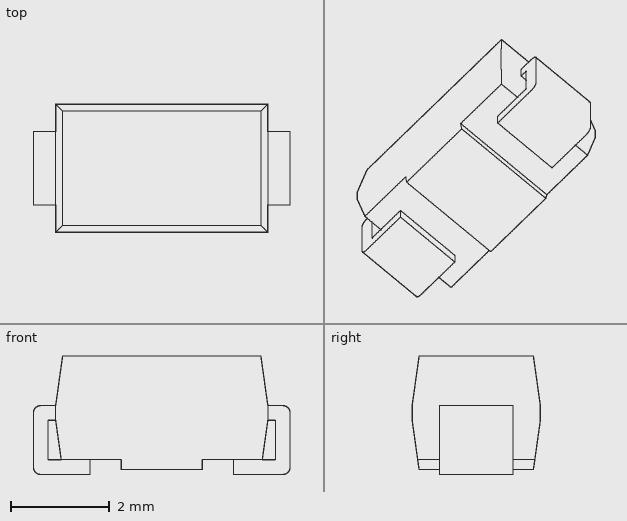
import cadquery as cq
import math

length = 5.2
height = 2.4

body_length = 4.3
body_width = 2.6
draft_angle = 8.0
pad_length = 1.645
pad_bottom = 0.1

lead_thickness = 0.3
lead_width = 1.5
lead_top = 1.4
foot_length = 1.15
bend_radius = 0.15

belt_bottom = lead_top - lead_thickness
body_bottom = lead_thickness


def drafted_block(start_z, end_z):
    """Block that narrows on all four sides from the belt outline at start_z to end_z."""
    inset = abs(end_z - start_z) * math.tan(math.radians(draft_angle))
    return (
        cq.Workplane("XY", origin=(0, 0, start_z))
        .rect(body_length, body_width)
        .workplane(offset=end_z - start_z)
        .rect(body_length - 2 * inset, body_width - 2 * inset)
        .loft(combine=True)
    )


def make_body():
    """Straight belt between two drafted halves, with a standoff pad underneath."""
    belt = cq.Workplane("XY", origin=(0, 0, belt_bottom)).rect(body_length, body_width).extrude(lead_thickness)
    upper = drafted_block(lead_top, height)
    lower = drafted_block(belt_bottom, pad_bottom)

    for side in (-1, 1):
        relief = cq.Workplane("XY").box(length, body_width, body_bottom, centered=(True, True, False))
        lower = lower.cut(relief.translate((side * (pad_length + length) / 2, 0, 0)))
    return belt.union(upper).union(lower)


def make_left_lead():
    """C-shaped strip leaving the belt, running down and folding under the body."""
    outer_x = -length / 2
    inner_x = outer_x + lead_thickness
    body_x = -body_length / 2
    foot_x = outer_x + foot_length
    strip = (
        cq.Workplane("XZ")
        .moveTo(body_x, lead_top)
        .lineTo(outer_x, lead_top)
        .lineTo(outer_x, 0)
        .lineTo(foot_x, 0)
        .lineTo(foot_x, lead_thickness)
        .lineTo(inner_x, lead_thickness)
        .lineTo(inner_x, belt_bottom)
        .lineTo(body_x, belt_bottom)
        .close()
        .extrude(lead_width / 2, both=True)
    )
    return strip.edges("|Y and <X").fillet(bend_radius)


left_lead = make_left_lead()
right_lead = left_lead.mirror("YZ")
result = make_body().union(left_lead).union(right_lead)